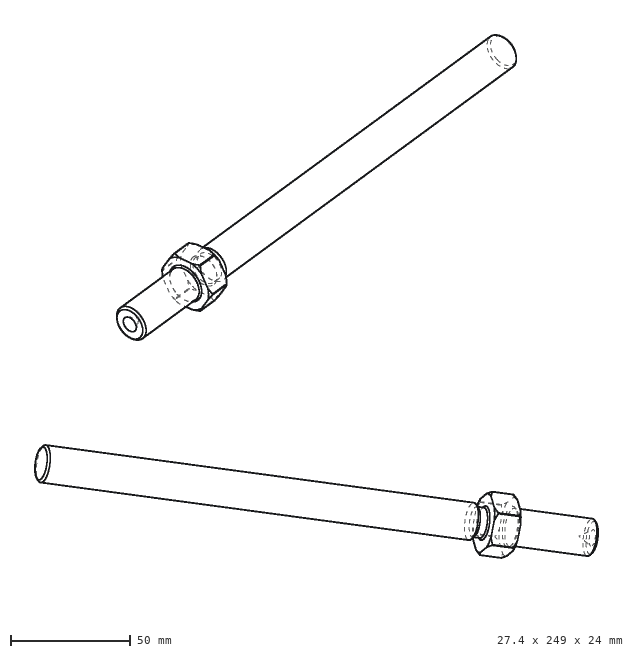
import cadquery as cq
import math

LENGTH = 249.0
ROD_RADIUS = 8.0
END_CHAMFER = 1.0
FRONT_Y = -LENGTH / 2

NUT_FLATS = 24.0
NUT_FRONT_Y = FRONT_Y + 37.0
NUT_THICKNESS = 12.0
NUT_BACK_Y = NUT_FRONT_Y + NUT_THICKNESS
NUT_POINTS = NUT_FLATS / math.cos(math.radians(30))
NUT_CORNER_RADIUS = 13.7
NUT_FACE_RADIUS = 12.5
NUT_CHAMFER_DEPTH = 1.2

NECK_RADIUS = 6.5
NECK_LENGTH = 4.0
NECK_TAPER = ROD_RADIUS - NECK_RADIUS

COLLAR_SIZE = 0.7

CENTRE_RADIUS = 3.5
CENTRE_ANGLE = 60.0
CENTRE_DEPTH = CENTRE_RADIUS / math.tan(math.radians(CENTRE_ANGLE / 2))


def turned(points):
    """Revolve a closed (radius, y) outline about the Y axis."""
    return cq.Workplane("XY").polyline(points).close().revolve(360, (0, 0, 0), (0, 1, 0))


def make_rod():
    back_y = FRONT_Y + LENGTH
    neck_back_y = NUT_BACK_Y + NECK_LENGTH
    end_radius = ROD_RADIUS - END_CHAMFER
    return turned([
        (0, FRONT_Y + CENTRE_DEPTH),
        (CENTRE_RADIUS, FRONT_Y),
        (end_radius, FRONT_Y),
        (ROD_RADIUS, FRONT_Y + END_CHAMFER),
        (ROD_RADIUS, NUT_FRONT_Y - COLLAR_SIZE),
        (ROD_RADIUS + COLLAR_SIZE, NUT_FRONT_Y),
        (NECK_RADIUS + COLLAR_SIZE, NUT_BACK_Y),
        (NECK_RADIUS, NUT_BACK_Y + COLLAR_SIZE),
        (NECK_RADIUS, neck_back_y),
        (ROD_RADIUS, neck_back_y + NECK_TAPER),
        (ROD_RADIUS, back_y - END_CHAMFER),
        (end_radius, back_y),
        (0, back_y),
    ])


def make_nut():
    hexagon = (
        cq.Workplane("XZ", origin=(0, NUT_BACK_Y, 0))
        .polygon(6, NUT_POINTS)
        .extrude(NUT_THICKNESS)
    )
    blank = turned([
        (0, NUT_FRONT_Y),
        (NUT_FACE_RADIUS, NUT_FRONT_Y),
        (NUT_CORNER_RADIUS, NUT_FRONT_Y + NUT_CHAMFER_DEPTH),
        (NUT_CORNER_RADIUS, NUT_BACK_Y - NUT_CHAMFER_DEPTH),
        (NUT_FACE_RADIUS, NUT_BACK_Y),
        (0, NUT_BACK_Y),
    ])
    return hexagon.intersect(blank)


result = make_rod().union(make_nut())